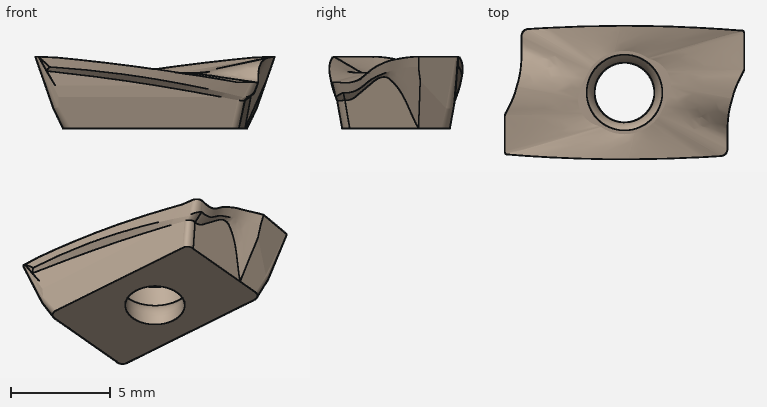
import cadquery as cq
import math

TOP = 3.6
HALF_LENGTH = 6.0
LOW_CORNER = 2.3
SEAT_HEIGHT = 2.8

BORE_RADIUS = 1.9
BORE_FLOOR = 1.58
HOLE_RADIUS = 1.49
SHOULDER_END = 0.56

LONG_BULGE = 3.35
LONG_CURVE = 0.007

BASE_HALF_WIDTH = 2.7
WALL_BENDS = (1.58, 2.16)
BEND_HALF_WIDTHS = (2.98, 3.01)

NOSE_SLOPE = 0.355
END_SKEW = 0.09
END_SLOPE = 0.225
END_BASE_X = 4.4


def line(a, b):
    return cq.Edge.makeLine(cq.Vector(*a), cq.Vector(*b))


def arc(a, middle, b):
    return cq.Edge.makeThreePointArc(cq.Vector(*a), cq.Vector(*middle), cq.Vector(*b))


def spline(points):
    return cq.Edge.makeSpline([cq.Vector(*p) for p in points])


def curve(point_at, start, end, steps=6):
    return spline([point_at(start + (end - start) * i / steps) for i in range(steps + 1)])


def ruled(a, b):
    return cq.Face.makeRuledSurface(a, b)


def flat(*edges):
    return cq.Face.makeFromWires(cq.Wire.assembleEdges(list(edges)))


def polygon(*points):
    return flat(*[line(a, b) for a, b in zip(points, points[1:] + points[:1])])


def half_turn(shape):
    return shape.rotate(cq.Vector(0, 0, 0), cq.Vector(0, 0, 1), 180)


def opposite(p):
    return (-p[0], -p[1], p[2])


def between(start, end, t):
    return start + (end - start) * t


RIM_START, RIM_END = -5.83, 4.78
RIM_CREST = -5.34
RIM_FALL, RIM_BEND = 0.0925, 0.004583

LAND_START, LAND_END = -5.28, 4.42
LAND_TOP = 3.08
LAND_FALL, LAND_BEND = 0.065, 0.009417
LAND_INSET = 0.02
LAND_INSET_GROWTH = 0.001833


def sink(run, fall, bend):
    return fall * run + bend * run**2


def bowed_y(x):
    return LONG_CURVE * x**2 - LONG_BULGE


def rim_point(t):
    x = between(RIM_START, RIM_END, t)
    height = TOP - sink(max(x - RIM_CREST, 0), RIM_FALL, RIM_BEND)
    return (x, bowed_y(x), max(height, LOW_CORNER))


def land_point(t):
    """Lower edge of the narrow land under the rim."""
    x = between(LAND_START, LAND_END, t)
    run = x - LAND_START
    inset = LAND_INSET + LAND_INSET_GROWTH * run**2
    return (x, bowed_y(x) + inset, LAND_TOP - sink(run, LAND_FALL, LAND_BEND))


LEDGE_START, LEDGE_END = -5.44, 4.14
LEDGE_TOP = 2.88
LEDGE_FALL, LEDGE_BEND = 0.105, 0.005


def wall_y(z):
    low, high = WALL_BENDS
    low_width, high_width = BEND_HALF_WIDTHS
    if z < low:
        return -between(BASE_HALF_WIDTH, low_width, z / low)
    return -between(low_width, high_width, min((z - low) / (high - low), 1))


def on_wall(x, z):
    return (x, wall_y(z), z)


def ledge_point(t):
    """Where the undercut ledge below the land meets the long wall."""
    x = between(LEDGE_START, LEDGE_END, t)
    return on_wall(x, LEDGE_TOP - sink(x - LEDGE_START, LEDGE_FALL, LEDGE_BEND))


def ledge_at_height(z):
    """Position along the ledge, from 0 to 1, where it has sunk to height z."""
    root = math.sqrt(LEDGE_FALL**2 + 4 * LEDGE_BEND * (LEDGE_TOP - z))
    return (root - LEDGE_FALL) / (2 * LEDGE_BEND) / (LEDGE_END - LEDGE_START)


low_bend, high_bend = WALL_BENDS
long_stops = [0, ledge_at_height(high_bend), ledge_at_height(low_bend), 1]
long_spans = list(zip(long_stops, long_stops[1:]))
rim_long = [curve(rim_point, a, b) for a, b in long_spans]
land_long = [curve(land_point, a, b) for a, b in long_spans]
ledge_long = [curve(ledge_point, a, b) for a, b in long_spans]


def on_end(y, z):
    return (END_BASE_X + END_SKEW * y + END_SLOPE * z, y, z)


rim_corner = (5.16, -2.8, LOW_CORNER)
land_corner = (4.97, -2.64, 1.8)
ledge_corner = on_end(-2.55, 1.42)
base_corner = on_end(-2.32, 0)

rim_apex = (5.4, -0.31, 3.4)
land_apex = (5.17, -0.31, 2.87)
ledge_apex = on_end(-0.35, 2.5)

RIDGE_Y = 1.13
RIDGE_LAND = 0.53
rim_ridge = (HALF_LENGTH, RIDGE_Y, TOP)
land_ridge = (HALF_LENGTH - NOSE_SLOPE * RIDGE_LAND, RIDGE_Y, TOP - RIDGE_LAND)
base_ridge = on_end(RIDGE_Y, 0)

rim_end = [
    spline([rim_corner, (5.16, -2.22, 2.32), (5.16, -1.88, 2.44), (5.2, -1.26, 2.93),
            (5.28, -0.75, 3.23), rim_apex]),
    spline([rim_apex, (5.57, 0.24, 3.52), (5.76, 0.66, 3.58), rim_ridge]),
]
land_end = [
    spline([land_corner, (4.98, -2.22, 1.82), (4.98, -1.95, 1.92), (5.03, -1.25, 2.45),
            (5.08, -0.78, 2.69), land_apex]),
    spline([land_apex, (5.35, 0.24, 3.01), (5.57, 0.66, 3.07), land_ridge]),
]
ledge_end = [
    spline([ledge_corner, on_end(-2.16, 1.5), on_end(-1.95, 1.65), on_end(-1.25, 2.25),
            on_end(-0.83, 2.53), on_end(-0.61, 2.58), ledge_apex]),
    spline([ledge_apex, on_end(0.24, 1.82), on_end(0.67, 0.96), base_ridge]),
]

corner_rim = arc(rim_point(1), (5.05, -3.08, LOW_CORNER), rim_corner)
corner_land = arc(land_point(1), (4.82, -2.9, 1.65), land_corner)
corner_ledge = arc(ledge_point(1), (4.45, -2.83, 1.39), ledge_corner)
base_long_end = on_wall(3.82, 0)
corner_base = arc(base_long_end, (4.12, -2.58, 0), base_corner)

nose_ridge = opposite(rim_ridge)
nose_land = opposite(land_ridge)
nose_base = opposite(base_ridge)
nose_tip = (-HALF_LENGTH, -2.95, TOP)


def on_nose(y, z):
    return (-HALF_LENGTH + NOSE_SLOPE * (TOP - z), y, z)


flank_ridge = on_nose(-1.21, 2.4)
flank_tip = on_nose(-2.5, 1.02)
base_tip = (-4.61, -2.25, 0)
base_long_start = on_wall(-4.2, 0)
nose_foot = on_wall(-4.84, 1.08)
nose_bends = (on_wall(-4.82, low_bend), on_wall(-5.0, high_bend))

nose_rim_arc = arc(nose_tip, (-5.95, -3.07, TOP), rim_point(0))
nose_foot_arc = arc(flank_tip, (-5.02, -2.78, 1.01), nose_foot)
nose_base_arc = arc(base_tip, (-4.49, -2.57, 0), base_long_start)

SEAT_RADIUS = 2.09
SEAT_ARC_START, SEAT_ARC_END = -124, -40
SEAT_CORNER_ANGLE = -33


def seat(x, y):
    return (x, y, SEAT_HEIGHT)


def seat_round(angle):
    a = math.radians(angle)
    return seat(SEAT_RADIUS * math.cos(a), SEAT_RADIUS * math.sin(a))


seat_angles = [between(SEAT_ARC_START, SEAT_ARC_END, t) for t in long_stops]
seat_long = [arc(seat_round(a), seat_round((a + b) / 2), seat_round(b))
             for a, b in zip(seat_angles, seat_angles[1:])]
seat_ridge = seat(2.11, 1.08)
seat_lobe = seat(2.33, 0.29)
seat_corner = seat_round(SEAT_CORNER_ANGLE)
seat_nose = seat(-1.22, -1.69)
seat_lines = [
    arc(opposite(seat_ridge), seat(-1.74, -1.46), seat_nose),
    line(seat_nose, seat_round(SEAT_ARC_START)),
    *seat_long,
    arc(seat_round(SEAT_ARC_END), seat_round((SEAT_ARC_END + SEAT_CORNER_ANGLE) / 2), seat_corner),
    arc(seat_corner, seat(2.11, -0.41), seat_lobe),
    arc(seat_lobe, seat(2.28, 0.7), seat_ridge),
]
nose_rim = [line(nose_ridge, nose_tip), nose_rim_arc]
outer_rim = [*rim_long, corner_rim, *rim_end]
rim_lines = nose_rim + outer_rim
base_lines = [
    line(nose_base, base_tip),
    nose_base_arc,
    line(base_long_start, base_long_end),
    corner_base,
    line(base_corner, base_ridge),
]

rake = [ruled(a, b) for a, b in zip(rim_lines, seat_lines)]
land_lines = [*land_long, corner_land, *land_end]
ledge_lines = [*ledge_long, corner_ledge, *ledge_end]
lands = [ruled(a, b) for a, b in zip(outer_rim, land_lines)]
ledges = [ruled(a, b) for a, b in zip(land_lines, ledge_lines)]
bend_low, bend_high = nose_bends
ledge_a, ledge_b = [ledge_point(t) for t in long_stops[1:3]]
long_wall = [
    flat(ledge_long[0], line(ledge_a, bend_high), line(bend_high, ledge_point(0))),
    flat(ledge_long[1], line(ledge_b, bend_low), line(bend_low, bend_high), line(bend_high, ledge_a)),
    flat(ledge_long[2], line(ledge_point(1), base_long_end), line(base_long_end, base_long_start),
         line(base_long_start, nose_foot), line(nose_foot, bend_low), line(bend_low, ledge_b)),
]
end_wall = [
    ruled(corner_ledge, corner_base),
    flat(*ledge_end, line(base_ridge, base_corner), line(base_corner, ledge_corner)),
]
nose_side = [land_point(0), ledge_point(0), bend_high, bend_low, nose_foot]
nose = [
    polygon(nose_ridge, nose_tip, flank_tip, flank_ridge, nose_land),
    ruled(line(flank_ridge, flank_tip), line(nose_base, base_tip)),
    polygon(nose_land, flank_ridge, nose_base),
    ruled(nose_rim_arc, nose_foot_arc),
    ruled(nose_foot_arc, nose_base_arc),
    *[polygon(rim_point(0), a, b) for a, b in zip(nose_side, nose_side[1:])],
]
half = rake + lands + ledges + long_wall + end_wall + nose

seat_face = flat(*seat_lines, *[half_turn(e) for e in seat_lines])
base_face = flat(*base_lines, *[half_turn(e) for e in base_lines])
shell = cq.Shell.makeShell(half + [half_turn(f) for f in half] + [seat_face, base_face])
body = cq.Workplane(obj=cq.Solid.makeSolid(shell))

shoulder_drop = BORE_FLOOR - SHOULDER_END
shoulder_step = BORE_RADIUS - HOLE_RADIUS
shoulder_radius = (shoulder_drop**2 + shoulder_step**2) / (2 * shoulder_step)
half_angle = math.asin(shoulder_drop / shoulder_radius) / 2
shoulder_middle = (
    HOLE_RADIUS + shoulder_radius * (1 - math.cos(half_angle)),
    SHOULDER_END + shoulder_radius * math.sin(half_angle),
)
screw_hole = (
    cq.Workplane("XZ")
    .lineTo(HOLE_RADIUS, 0)
    .lineTo(HOLE_RADIUS, SHOULDER_END)
    .threePointArc(shoulder_middle, (BORE_RADIUS, BORE_FLOOR))
    .lineTo(BORE_RADIUS, TOP)
    .lineTo(0, TOP)
    .close()
    .revolve(360, (0, 0, 0), (0, 1, 0))
)
result = cq.Workplane(obj=body.cut(screw_hole).solids().val())